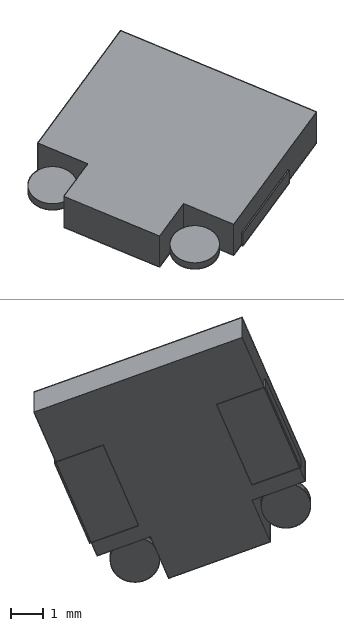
import cadquery as cq

overall_width = 7.1
overall_depth = 6.9
overall_height = 1.5

plate_thickness = 0.05
foot_thickness = 0.03
terminal_height = 0.6
terminal_depth = 2.995
foot_length = 1.65
terminal_setback = 1.85

nose_width = 3.42
nose_depth = 1.55
block_width = overall_width - 2 * plate_thickness
block_depth = overall_depth - nose_depth
housing_height = overall_height - foot_thickness

peg_diameter = nose_depth
peg_thickness = 0.3
peg_spacing = 5.08
peg_bottom = 0.505

block_front = nose_depth
terminal_back = overall_depth - terminal_setback


def make_housing():
    block = (
        cq.Workplane("XY", origin=(0, block_front, foot_thickness))
        .box(block_width, block_depth, housing_height, centered=(True, False, False))
    )
    nose = (
        cq.Workplane("XY", origin=(0, 0, foot_thickness))
        .box(nose_width, nose_depth, housing_height, centered=(True, False, False))
    )
    return block.union(nose, clean=False).solids()


def make_terminal(side):
    """L-shaped terminal; side is -1 for the -X end and 1 for the +X end."""
    outer = side * overall_width / 2
    inner = side * block_width / 2
    foot_end = outer - side * foot_length
    return (
        cq.Workplane("XZ", origin=(0, terminal_back, 0))
        .moveTo(outer, 0)
        .lineTo(outer, terminal_height)
        .lineTo(inner, terminal_height)
        .lineTo(inner, foot_thickness)
        .lineTo(foot_end, foot_thickness)
        .lineTo(foot_end, 0)
        .close()
        .extrude(terminal_depth)
    )


def make_peg(side):
    """Round peg beside the nose; side is -1 or 1 along X."""
    return (
        cq.Workplane("XY", origin=(side * peg_spacing / 2, block_front - peg_diameter / 2, peg_bottom))
        .circle(peg_diameter / 2)
        .extrude(peg_thickness)
    )


sides = (-1, 1)
housing = make_housing()
terminals = [make_terminal(side).val() for side in sides]
pegs = [make_peg(side).val() for side in sides]

result = cq.Compound.makeCompound([housing.val(), *terminals, *pegs])